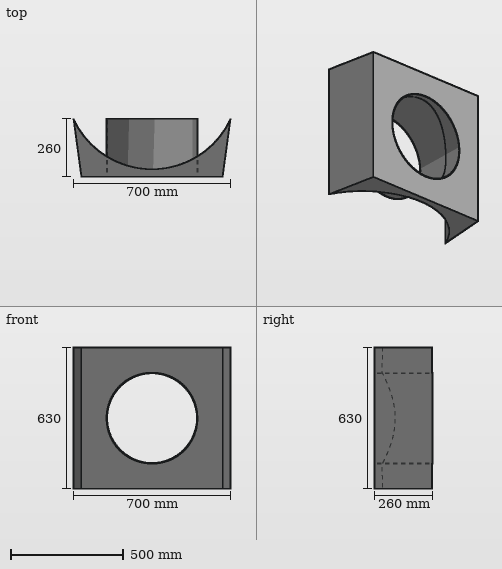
import cadquery as cq

front_width = 630.0
back_width = 700.0
height = 630.0
web_thickness = 33.5
block_depth = 257.5

pipe_diameter = 407.0
pipe_wall = 3.5
pipe_length = 260.0


def pipe_cylinder(diameter):
    """Solid cylinder along +Y from the front face, centred on the block."""
    return cq.Workplane("XZ").circle(diameter / 2).extrude(-pipe_length)


def make_saddle_block():
    """Flared block with a concave back and a bore that fits the pipe."""
    outline = (
        cq.Workplane("XY")
        .workplane(offset=-height / 2)
        .moveTo(-front_width / 2, 0)
        .lineTo(front_width / 2, 0)
        .lineTo(back_width / 2, block_depth)
        .threePointArc((0, web_thickness), (-back_width / 2, block_depth))
        .close()
    )
    return outline.extrude(height).cut(pipe_cylinder(pipe_diameter))


def make_pipe():
    """Thin-walled pipe, flush with the front face of the block."""
    return pipe_cylinder(pipe_diameter).cut(pipe_cylinder(pipe_diameter - 2 * pipe_wall))


saddle_block = make_saddle_block()
pipe = make_pipe()

result = cq.Compound.makeCompound([saddle_block.val(), pipe.val()])